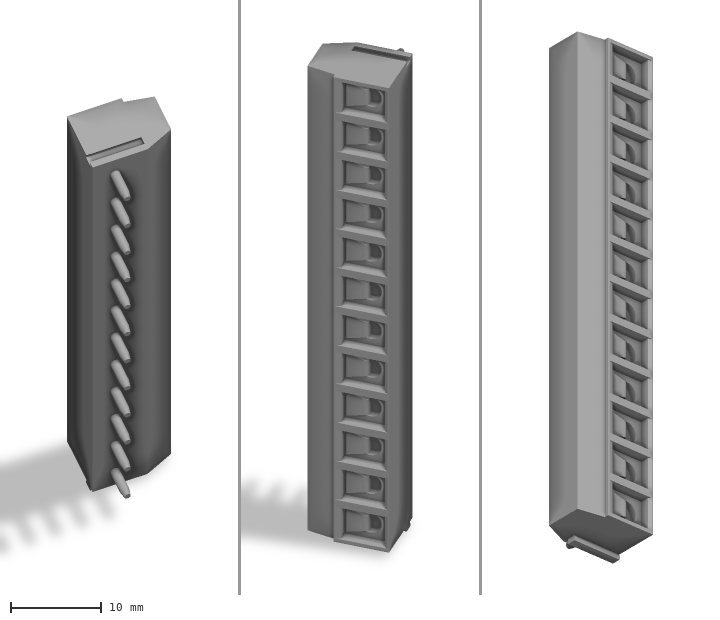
import cadquery as cq
import math


cell_count = 12
body_height = 61.0
rail_height = 0.7
pitch = body_height / cell_count
body_width = 7.5
body_depth = 10.0
shelf_y = 6.55
step_x = 0.55
crest_min_x = 1.2
crest_max_x = 6.0

dovetail_x = 6.2
dovetail_neck = 1.0
dovetail_wide = 1.3
rail_tail = 1.1
dovetail_flank = 0.4
slot_depth = 0.6

cell_height = 4.1
cell_depth = 1.35
cell_mouth_min_y = 0.2
cell_floor_min_y = 0.55
cell_mouth_max_y = 6.3
cell_floor_max_y = 5.7
bevel_depth = 0.25

tongue_rise = 0.4
tongue_back_run = 0.3
tongue_back_width = 3.3
tongue_tip_width = 1.85
tongue_tip_y = 2.85
tongue_tip_radius = 0.7
tongue_tip_angle = 50
hole_radius = 1.3
hole_depth = 0.9

pin_y = 2.65
pin_diameter = 1.1
pin_tip_diameter = 0.75
pin_shoulder = 2.8
pin_length = 3.7

body_top = rail_height + body_height


def make_housing():
    return (
        cq.Workplane("XY")
        .workplane(offset=rail_height)
        .polyline([
            (0, 0),
            (body_width, 0),
            (body_width, shelf_y),
            (crest_max_x, body_depth),
            (crest_min_x, body_depth),
            (step_x, shelf_y),
            (0, shelf_y),
        ])
        .close()
        .extrude(body_height)
    )


def make_dovetail(end_z, length, tail_width):
    """Prism along Y growing down from end_z, widest at the flank depth."""
    half_neck = dovetail_neck / 2
    half_wide = dovetail_wide / 2
    half_tail = tail_width / 2
    right_side = [
        (half_neck, end_z),
        (half_wide, end_z - dovetail_flank),
        (half_tail, end_z - length),
    ]
    left_side = [(-x, z) for x, z in reversed(right_side)]
    outline = [(dovetail_x + x, z) for x, z in right_side + left_side]
    return cq.Workplane("XZ").polyline(outline).close().extrude(-shelf_y)


def make_cell(center_z):
    cell = (
        cq.Workplane("XY")
        .workplane(offset=center_z - cell_height / 2)
        .polyline([
            (0, cell_mouth_min_y),
            (bevel_depth, cell_floor_min_y),
            (cell_depth, cell_floor_min_y),
            (cell_depth, cell_floor_max_y),
            (bevel_depth, cell_floor_max_y),
            (0, cell_mouth_max_y),
        ])
        .close()
        .extrude(cell_height)
    )
    hole = (
        cq.Workplane("YZ")
        .workplane(offset=cell_depth)
        .center(pin_y, center_z)
        .circle(hole_radius)
        .extrude(hole_depth)
    )
    return cell.union(hole)


def make_tongue(center_z):
    """Tongue tapering from the cell wall to a rounded tip over the screw hole."""
    face_x = cell_depth - tongue_rise
    root_x = cell_depth + hole_depth
    full_turn = math.radians(tongue_tip_angle)
    bend_y = tongue_tip_y + tongue_tip_radius * math.sin(full_turn)

    def tip_point(turn):
        return (
            face_x + tongue_tip_radius * (1 - math.cos(turn)),
            bend_y - tongue_tip_radius * math.sin(turn),
        )

    side = (
        cq.Workplane("XY")
        .workplane(offset=center_z - tongue_back_width / 2)
        .moveTo(root_x, cell_floor_max_y)
        .lineTo(cell_depth, cell_floor_max_y)
        .lineTo(face_x, cell_floor_max_y - tongue_back_run)
        .lineTo(face_x, bend_y)
        .threePointArc(tip_point(full_turn / 2), tip_point(full_turn))
        .lineTo(root_x, tongue_tip_y)
        .close()
        .extrude(tongue_back_width)
    )
    plan = (
        cq.Workplane("YZ")
        .polyline([
            (cell_floor_max_y, center_z - tongue_back_width / 2),
            (cell_floor_max_y, center_z + tongue_back_width / 2),
            (tongue_tip_y, center_z + tongue_tip_width / 2),
            (tongue_tip_y, center_z - tongue_tip_width / 2),
        ])
        .close()
        .extrude(root_x)
    )
    return side.intersect(plan)


def make_pin(center_z):
    """Round pin with a tapered tip, turned about an axis along X."""
    shoulder_x = body_width + pin_shoulder
    end_x = body_width + pin_length
    return (
        cq.Workplane("XY")
        .workplane(offset=center_z)
        .polyline([
            (body_width, pin_y),
            (body_width, pin_y - pin_diameter / 2),
            (shoulder_x, pin_y - pin_diameter / 2),
            (end_x, pin_y - pin_tip_diameter / 2),
            (end_x, pin_y),
        ])
        .close()
        .revolve(360, (0, pin_y), (1, pin_y))
    )


result = make_housing()
result = result.cut(make_dovetail(body_top, slot_depth, dovetail_wide))
result = result.union(make_dovetail(rail_height, rail_height, rail_tail))

for index in range(cell_count):
    cell_z = rail_height + (index + 0.5) * pitch
    result = result.cut(make_cell(cell_z))
    result = result.union(make_tongue(cell_z))
    result = result.union(make_pin(cell_z))